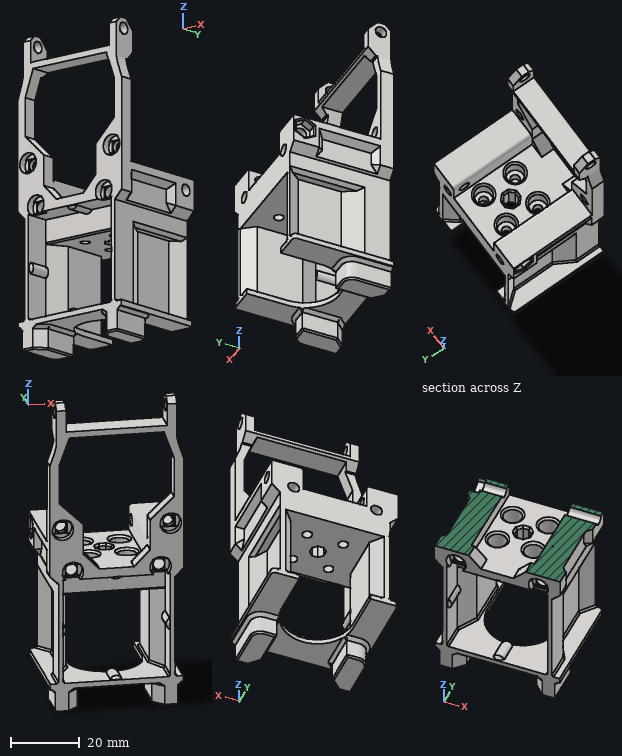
import cadquery as cq
import math

BODY_DEPTH = 32.5
TOTAL_HEIGHT = 94.95
HALF_WIDTH = 19.9
SLACK = 1.0

PLATE_BOTTOM = 7.25
PLATE_TOP = 9.0
PLATE_HALF_WIDTH = 19.7
PLATE_CORNER_RADIUS = 1.2
ACCESS_HOLE_RADIUS = 11.2
WALL_ROOT_CHAMFER = 0.55

FOOT_OUTER_X = 18.2
FOOT_INNER_X = 11.0
FOOT_DEPTH = 14.6
FOOT_BEVEL = 3.2
FOOT_ROUND = 3.4
FOOT_FLARE = 1.1
FOOT_EDGE_CHAMFER = 0.5

WALL_THICKNESS = 1.4
CAVITY_HALF_WIDTH = 15.9
CAVITY_TOP = PLATE_TOP + 2 * CAVITY_HALF_WIDTH
WALL_HALF_WIDTH = CAVITY_HALF_WIDTH + WALL_THICKNESS
PINCH_HALF_WIDTH = 12.4
PINCH_TOP = 33.4
PINCH_TOP_CHAMFER = 0.5

RECESS_START_Y = 8.25
RECESS_END_Y = 14.25
RECESS_DEPTH = CAVITY_HALF_WIDTH - PINCH_HALF_WIDTH
RECESS_REAR_Y = 28.1
RECESS_CHAMFER = 1.2
FRONT_SLOPE = math.atan2(RECESS_DEPTH, RECESS_END_Y - RECESS_START_Y)
REAR_SLOPE = math.atan2(RECESS_DEPTH, BODY_DEPTH - RECESS_REAR_Y)
FRONT_SHIFT = WALL_THICKNESS * math.tan(FRONT_SLOPE / 2)
REAR_SHIFT = WALL_THICKNESS * math.tan(REAR_SLOPE / 2)
PINCH_START_Y = RECESS_START_Y - FRONT_SHIFT
PINCH_END_Y = RECESS_END_Y - FRONT_SHIFT
PINCH_REAR_Y = RECESS_REAR_Y + REAR_SHIFT

RIB_RADIUS = 2.0
RIB_HEIGHT = 1.0
RIB_START_Y = 0.3
RIB_CHAMFER = 0.9

BLOCK_TOP = 51.6
FLARE_TOP = 42.2
FLARE_BOTTOM = FLARE_TOP - (HALF_WIDTH - WALL_HALF_WIDTH)
CHANNEL_HALF_WIDTH = 9.9
CHANNEL_FLOOR = 43.6
RAIL_ROUND = 1.1

SHAFT_Y = 19.2
SHAFT_FLATS = 4.4
SCREW_CIRCLE_DIAMETER = 16.0
SCREW_DIAMETER = 2.9
SCREW_HEAD_DIAMETER = 5.7
SCREW_HEAD_DEPTH = 6.0
RIM_CHAMFER = 0.65

FRAME_THICKNESS = 4.4
HEAD_DEPTH = 7.5
EAR_OUTER_X = 17.9
EAR_INNER_X = 15.0
BAR_TOP = 86.5
WINDOW_TOP = 84.5
WINDOW_HALF_WIDTH = 17.0
SHOULDER_Z = 76.2
NECK_X = 18.4
NECK_BOTTOM = 80.5
NECK_TOP = 82.7
EAR_HOLE_Y = 3.3
EAR_HOLE_Z = 91.7

BOLT_DIAMETER = 3.5
BOLT_HEAD_DIAMETER = 6.2
BOLT_HEAD_DEPTH = 2.1
STEP_DEPTH = 0.3
FRAME_BOLT = (16.0, 56.3)
BLOCK_BOLT = (13.0, 43.05)
NUT_Y = 28.75
NUT_Z = 47.75
NUT_FLATS = 5.7
NUT_DEPTH = 3.0
NUT_CHAMFER = 0.45

POCKET_FRONT_Y = 4.5
POCKET_REAR_Y = 24.3
POCKET_TOP = 49.0
POCKET_DEPTH = 2.0


def box(x0, x1, y0, y1, z0, z1):
    """Box between two opposite corners."""
    return cq.Workplane("XY").box(x1 - x0, y1 - y0, z1 - z0, centered=False).translate((x0, y0, z0))


def both_sides(solid):
    """The solid together with its mirror image about X = 0."""
    return solid.union(solid.mirror("YZ"))


def mirrored_outline(right_half):
    """Closed outline from its right half, listed from one end on the axis side to the other."""
    return right_half + [(-x, z) for x, z in reversed(right_half)]


def extrude_back(points, depth, start=0.0):
    """Extrude an XZ outline toward +Y from Y = start."""
    return cq.Workplane("XZ", origin=(0, start, 0)).polyline(points).close().extrude(-depth)


def extrude_up(points, height, start):
    """Extrude an XY outline toward +Z from Z = start."""
    return cq.Workplane("XY", origin=(0, 0, start)).polyline(points).close().extrude(height)


def cylinder_y(x, z, diameter, depth, start=0.0):
    """Cylinder along +Y."""
    return cq.Workplane("XZ", origin=(x, start, z)).circle(diameter / 2).extrude(-depth)


def cylinder_x(y, z, diameter):
    """Cylinder along X through the whole width."""
    half = HALF_WIDTH + SLACK
    return cq.Workplane("YZ", origin=(-half, y, z)).circle(diameter / 2).extrude(2 * half)


def make_frame():
    """Front frame with window, crossbar and ears, thicker toward the top."""
    front = extrude_back(mirrored_outline([
        (WALL_HALF_WIDTH, PLATE_TOP),
        (WALL_HALF_WIDTH, FLARE_BOTTOM),
        (HALF_WIDTH, FLARE_TOP),
        (HALF_WIDTH, SHOULDER_Z),
        (NECK_X, NECK_BOTTOM),
        (EAR_OUTER_X, NECK_TOP),
        (EAR_OUTER_X, TOTAL_HEIGHT),
        (EAR_INNER_X, TOTAL_HEIGHT),
        (EAR_INNER_X, BAR_TOP),
    ]), HEAD_DEPTH)
    window = extrude_back(mirrored_outline([
        (5.1, CHANNEL_FLOOR),
        (CHANNEL_HALF_WIDTH, 48.5),
        (CHANNEL_HALF_WIDTH, 57.7),
        (WINDOW_HALF_WIDTH, 64.5),
        (WINDOW_HALF_WIDTH, SHOULDER_Z),
        (14.0, WINDOW_TOP),
    ]), HEAD_DEPTH)
    side_outline = [
        (0, PLATE_TOP),
        (0, 93.1),
        (1.9, TOTAL_HEIGHT),
        (FRAME_THICKNESS, TOTAL_HEIGHT),
        (HEAD_DEPTH, EAR_HOLE_Z),
        (HEAD_DEPTH, 85.2),
        (HEAD_DEPTH - (85.2 - NECK_TOP), NECK_TOP),
        (FRAME_THICKNESS, NECK_TOP),
        (FRAME_THICKNESS, PLATE_TOP),
    ]
    side = cq.Workplane("YZ").polyline(side_outline).close().extrude(HALF_WIDTH, both=True)
    return front.cut(window).intersect(side)


def make_body():
    """Side walls and upper block with its channel, still solid below the block."""
    body = extrude_back(mirrored_outline([
        (WALL_HALF_WIDTH, PLATE_TOP),
        (WALL_HALF_WIDTH, FLARE_BOTTOM),
        (HALF_WIDTH, FLARE_TOP),
        (HALF_WIDTH, BLOCK_TOP),
    ]), BODY_DEPTH)
    channel = box(-CHANNEL_HALF_WIDTH, CHANNEL_HALF_WIDTH, 0, BODY_DEPTH, CHANNEL_FLOOR, BLOCK_TOP)
    body = body.cut(channel)
    rail_edge = CHANNEL_HALF_WIDTH + 0.1
    rail_edges = cq.selectors.BoxSelector(
        (-rail_edge, -SLACK, BLOCK_TOP - 0.1), (rail_edge, BODY_DEPTH + SLACK, BLOCK_TOP + 0.1)
    )
    return body.edges("|Y").edges(rail_edges).fillet(RAIL_ROUND)


def wall_outer_line():
    """Plan points of the left wall's outer face, from front to rear."""
    return [
        (-WALL_HALF_WIDTH, RECESS_START_Y),
        (-WALL_HALF_WIDTH + RECESS_DEPTH, RECESS_END_Y),
        (-WALL_HALF_WIDTH + RECESS_DEPTH, RECESS_REAR_Y),
        (-WALL_HALF_WIDTH, BODY_DEPTH),
    ]


def make_wall_recess():
    """Recess in the left wall with a sloped edge along its ceiling."""
    outside_x = -HALF_WIDTH - SLACK
    outline = wall_outer_line() + [(outside_x, BODY_DEPTH), (outside_x, RECESS_START_Y)]
    recess = extrude_up(outline, PINCH_TOP - PLATE_TOP, PLATE_TOP)
    ceiling = extrude_back([
        (-WALL_HALF_WIDTH, PINCH_TOP + RECESS_CHAMFER),
        (-WALL_HALF_WIDTH + RECESS_CHAMFER, PINCH_TOP),
        (-HALF_WIDTH, PINCH_TOP),
        (-HALF_WIDTH, PINCH_TOP + RECESS_CHAMFER),
    ], BODY_DEPTH)
    return recess.union(ceiling.intersect(extrude_up(outline, RECESS_CHAMFER, PINCH_TOP)))


def make_root_chamfer():
    """45 degree fillets of material along both faces of the left wall's foot."""
    front_end = -2 * WALL_ROOT_CHAMFER
    rear_end = BODY_DEPTH + REAR_SHIFT
    wall = [(-WALL_HALF_WIDTH, front_end)] + wall_outer_line() + [
        (-WALL_HALF_WIDTH, rear_end + 2 * WALL_ROOT_CHAMFER),
        (-CAVITY_HALF_WIDTH, rear_end + 2 * WALL_ROOT_CHAMFER),
        (-CAVITY_HALF_WIDTH, rear_end),
        (-PINCH_HALF_WIDTH, PINCH_REAR_Y),
        (-PINCH_HALF_WIDTH, PINCH_END_Y),
        (-CAVITY_HALF_WIDTH, PINCH_START_Y),
        (-CAVITY_HALF_WIDTH, front_end),
    ]
    foot = cq.Workplane("XY", origin=(0, 0, PLATE_TOP)).polyline(wall).close()
    foot = foot.offset2D(WALL_ROOT_CHAMFER, "intersection").extrude(WALL_ROOT_CHAMFER, taper=45)
    return foot.intersect(box(-HALF_WIDTH, 0, 0, BODY_DEPTH, PLATE_TOP, PLATE_TOP + WALL_ROOT_CHAMFER))


def make_cavity():
    """Square front cavity and the narrower opening that runs on to the rear."""
    square = box(-CAVITY_HALF_WIDTH, CAVITY_HALF_WIDTH, 0, PINCH_START_Y, PLATE_TOP, CAVITY_TOP)
    plan = mirrored_outline([
        (CAVITY_HALF_WIDTH, PINCH_START_Y),
        (PINCH_HALF_WIDTH, PINCH_END_Y),
        (PINCH_HALF_WIDTH, PINCH_REAR_Y),
        (CAVITY_HALF_WIDTH, BODY_DEPTH + REAR_SHIFT),
    ])
    pinch = extrude_up(plan, PINCH_TOP - PLATE_TOP, PLATE_TOP)
    edge_profile = [
        (PINCH_START_Y, PINCH_TOP),
        (PINCH_START_Y, PINCH_TOP + PINCH_TOP_CHAMFER),
        (PINCH_START_Y + PINCH_TOP_CHAMFER, PINCH_TOP),
    ]
    edge = cq.Workplane("YZ").polyline(edge_profile).close().extrude(CAVITY_HALF_WIDTH, both=True)
    return square.union(pinch).union(edge)


def make_ribs():
    """One rounded rib at the middle of each side of the square cavity, with a chamfered front end."""
    centre_z = (PLATE_TOP + CAVITY_TOP) / 2
    axis_z = PLATE_TOP - RIB_RADIUS + RIB_HEIGHT
    rib = cylinder_y(0, axis_z, 2 * RIB_RADIUS, PINCH_START_Y - RIB_START_Y, RIB_START_Y)
    rib = rib.faces("<Y").chamfer(RIB_CHAMFER)
    root_z = PLATE_TOP - WALL_THICKNESS / 2
    rib = rib.intersect(box(-RIB_RADIUS, RIB_RADIUS, 0, PINCH_START_Y, root_z, PLATE_TOP + RIB_HEIGHT))
    ribs = rib
    for quarter in range(1, 4):
        ribs = ribs.union(rib.rotate((0, 0, centre_z), (0, 1, centre_z), 90 * quarter))
    return ribs


def make_base_plate():
    """Base plate with rounded rear corners."""
    plate = box(-PLATE_HALF_WIDTH, PLATE_HALF_WIDTH, 0, BODY_DEPTH, PLATE_BOTTOM, PLATE_TOP)
    return plate.edges("|Z and >Y").fillet(PLATE_CORNER_RADIUS)


def foot_outline(z):
    """Plan outline of the right foot at a given height."""
    return (
        cq.Workplane("XY", origin=(0, 0, z))
        .moveTo(FOOT_OUTER_X, 0)
        .lineTo(FOOT_OUTER_X, FOOT_DEPTH - FOOT_ROUND)
        .radiusArc((FOOT_OUTER_X - FOOT_ROUND, FOOT_DEPTH), -FOOT_ROUND)
        .lineTo(FOOT_INNER_X, FOOT_DEPTH)
        .lineTo(FOOT_INNER_X, FOOT_BEVEL)
        .lineTo(FOOT_INNER_X + FOOT_BEVEL, 0)
        .close()
    )


def make_foot():
    """Right foot: bevelled block with a chamfered sole, flaring out under the base plate."""
    foot = foot_outline(0).extrude(PLATE_BOTTOM).faces("<Z").chamfer(FOOT_EDGE_CHAMFER)
    flare = foot_outline(PLATE_BOTTOM - FOOT_FLARE).extrude(FOOT_FLARE, taper=-45)
    return foot.union(flare.intersect(box(0, HALF_WIDTH, 0, BODY_DEPTH, 0, PLATE_BOTTOM)))


def make_shaft_hole():
    """Octagonal hole from the channel floor down through the block, with a chamfered rim."""
    corner_diameter = SHAFT_FLATS / math.cos(math.pi / 8)
    turn = (0, 0, 180 / 8)
    hole = cq.Workplane("XY", origin=(0, SHAFT_Y, PINCH_TOP)).transformed(rotate=turn)
    hole = hole.polygon(8, corner_diameter).extrude(CHANNEL_FLOOR - PINCH_TOP)
    rim = cq.Workplane("XY", origin=(0, SHAFT_Y, CHANNEL_FLOOR - RIM_CHAMFER)).transformed(rotate=turn)
    return hole.union(rim.polygon(8, corner_diameter).extrude(RIM_CHAMFER, taper=-45))


def make_screw_hole(x, y):
    """Round hole through the block with a counterbore whose rim is chamfered."""
    radius = SCREW_HEAD_DIAMETER / 2
    shank = cq.Workplane("XY", origin=(x, y, PINCH_TOP)).circle(SCREW_DIAMETER / 2)
    head = cq.Workplane("XY", origin=(x, y, CHANNEL_FLOOR)).circle(radius)
    rim = cq.Workplane("XY", origin=(x, y, CHANNEL_FLOOR - RIM_CHAMFER)).circle(radius)
    hole = shank.extrude(CHANNEL_FLOOR - PINCH_TOP).union(head.extrude(-SCREW_HEAD_DEPTH))
    return hole.union(rim.extrude(RIM_CHAMFER, taper=-45))


def make_floor_holes():
    """Central shaft hole and four screw holes around it."""
    holes = make_shaft_hole()
    for corner in range(4):
        angle = math.radians(45 + 90 * corner)
        x = SCREW_CIRCLE_DIAMETER / 2 * math.cos(angle)
        y = SHAFT_Y + SCREW_CIRCLE_DIAMETER / 2 * math.sin(angle)
        holes = holes.union(make_screw_hole(x, y))
    return holes


def make_bolt_hole(x, z):
    """Counterbored hole along Y whose seat steps down to the hole as a slot, then a square."""
    seat = cylinder_y(x, z, BOLT_HEAD_DIAMETER, BOLT_HEAD_DEPTH)
    half = BOLT_DIAMETER / 2
    reach = BOLT_HEAD_DIAMETER / 2
    slot_end = BOLT_HEAD_DEPTH + STEP_DEPTH
    slot = box(x - reach, x + reach, 0, slot_end, z - half, z + half)
    slot = slot.intersect(cylinder_y(x, z, BOLT_HEAD_DIAMETER, slot_end))
    square = box(x - half, x + half, 0, slot_end + STEP_DEPTH, z - half, z + half)
    return seat.union(slot).union(square).union(cylinder_y(x, z, BOLT_DIAMETER, BODY_DEPTH))


def make_nut_trap():
    """Hexagonal nut seat in the left rail, corners up and down, with a chamfered mouth."""
    corner_diameter = NUT_FLATS / math.cos(math.pi / 6)
    mouth_diameter = (NUT_FLATS + 2 * NUT_CHAMFER) / math.cos(math.pi / 6)
    face = cq.Workplane("YZ", origin=(-HALF_WIDTH, NUT_Y, NUT_Z)).transformed(rotate=(0, 0, 90))
    seat = face.polygon(6, corner_diameter).extrude(NUT_DEPTH)
    return seat.union(face.polygon(6, mouth_diameter).extrude(NUT_CHAMFER, taper=45))


def make_rail_pocket():
    """Left rail pocket whose end walls lean 45 degrees from the rail side and from its flare."""
    width = POCKET_REAR_Y - POCKET_FRONT_Y
    centre_y = (POCKET_REAR_Y + POCKET_FRONT_Y) / 2
    floor_x = -HALF_WIDTH + POCKET_DEPTH
    overrun = 2 * POCKET_DEPTH
    height = POCKET_TOP - FLARE_BOTTOM + overrun
    side = cq.Workplane("YZ", origin=(-HALF_WIDTH, centre_y, POCKET_TOP - height / 2))
    upper = side.rect(width, height).extrude(POCKET_DEPTH, taper=45)
    flare_plane = cq.Plane(origin=(-HALF_WIDTH, centre_y, FLARE_TOP), xDir=(0, 1, 0), normal=(1, 0, 1))
    lower = cq.Workplane(flare_plane).rect(width, 4 * overrun).extrude(overrun / 2, taper=45)
    limit = box(-HALF_WIDTH, floor_x, 0, BODY_DEPTH, FLARE_BOTTOM - overrun, POCKET_TOP)
    return upper.union(lower.intersect(limit))


def make_access_opening():
    """Base plate opening: a half round below the shaft that runs straight out to the rear."""
    radius = ACCESS_HOLE_RADIUS
    height = PLATE_TOP + WALL_ROOT_CHAMFER
    round_end = cq.Workplane("XY", origin=(0, SHAFT_Y, 0)).circle(radius).extrude(height)
    return round_end.union(box(-radius, radius, SHAFT_Y, BODY_DEPTH, 0, height))


part = make_body().cut(make_cavity()).cut(both_sides(make_wall_recess()))
part = part.cut(box(-HALF_WIDTH, HALF_WIDTH, 0, FRAME_THICKNESS, CAVITY_TOP, BLOCK_TOP))
frame = make_frame().cut(make_cavity())
part = part.union(frame)
part = part.union(make_base_plate()).union(both_sides(make_root_chamfer()))
part = part.union(make_ribs()).union(both_sides(make_foot()))
part = part.cut(make_access_opening()).cut(make_floor_holes())
for bolt_x, bolt_z in (FRAME_BOLT, BLOCK_BOLT):
    part = part.cut(both_sides(make_bolt_hole(bolt_x, bolt_z)))
part = part.cut(both_sides(make_rail_pocket())).cut(make_nut_trap())
part = part.cut(cylinder_x(NUT_Y, NUT_Z, BOLT_DIAMETER))
result = part.cut(cylinder_x(EAR_HOLE_Y, EAR_HOLE_Z, BOLT_DIAMETER))